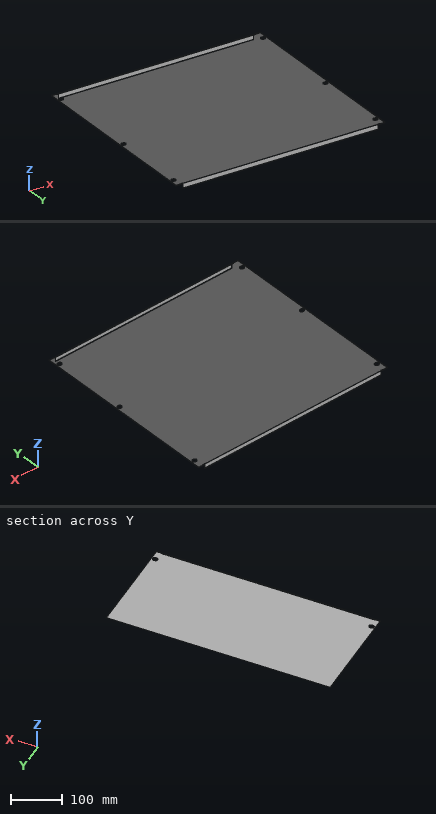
import cadquery as cq

panel_width = 482.0
panel_height = 444.3
panel_depth = 11.0
sheet = 1.0

flange_width = 449.6

relief_width = 4.0
relief_depth = sheet

rack_unit = 44.45
slot_length = 10.0
slot_height = 8.0
slot_spacing_x = 465.8
slot_edge_distance = 22.0
outer_row_y = panel_height / 2 - slot_edge_distance
inner_row_y = rack_unit / 2


def make_face():
    """Flat rectangular sheet lying just under Z = 0."""
    return cq.Workplane("XY").rect(panel_width, panel_height).extrude(-sheet)


def make_flange(side):
    """Folded strip along the +Y (side = 1) or -Y (side = -1) edge."""
    center_y = side * (panel_height - sheet) / 2
    return cq.Workplane("XY").center(0, center_y).rect(flange_width, sheet).extrude(-panel_depth)


def make_reliefs():
    """Cutters for the edge notches; each straddles the Y edge, so half of it bites."""
    center_x = (flange_width + relief_width) / 2
    centers = [(x * center_x, y * panel_height / 2) for x in (-1, 1) for y in (-1, 1)]
    return cq.Workplane("XY").pushPoints(centers).rect(relief_width, 2 * relief_depth).extrude(-sheet)


def make_slots():
    """Cutters for the mounting slots, long axis along X."""
    rows = (-outer_row_y, inner_row_y, outer_row_y)
    centers = [(side * slot_spacing_x / 2, y) for side in (-1, 1) for y in rows]
    return cq.Workplane("XY").pushPoints(centers).slot2D(slot_length, slot_height).extrude(-sheet)


result = make_face()
for side in (-1, 1):
    result = result.union(make_flange(side))
result = result.cut(make_reliefs()).cut(make_slots())